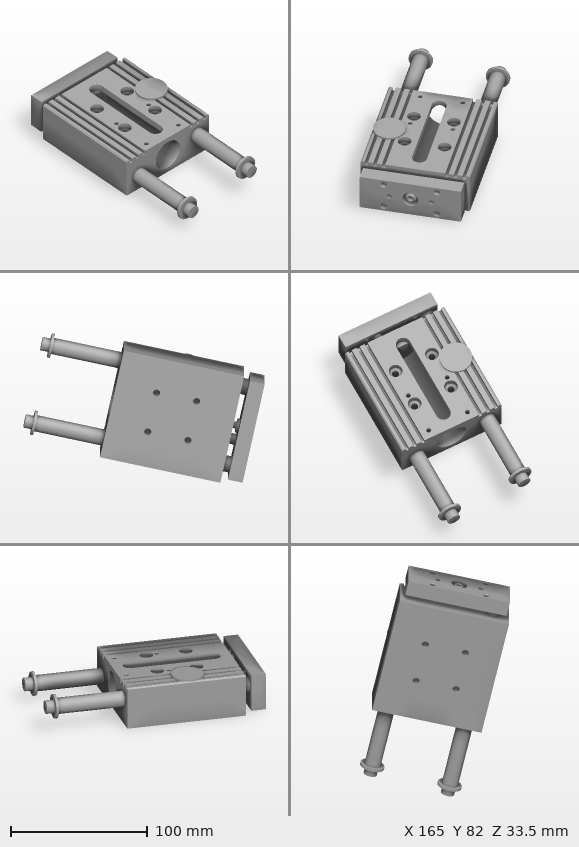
import cadquery as cq
import math

plate_thickness = 11.0
gap = 5.0
housing_length = 90.0
housing_width = 82.0
housing_height = 32.0
edge_chamfer = 1.0

housing_start = plate_thickness + gap
housing_end = housing_start + housing_length
cylinder_axis_z = housing_height / 2

groove_width = 2.5
groove_depth = 3.0
groove_pitch = 6.5
groove_count = 3
groove_inner_y = 23.75

bore_diameter = 24.0
bore_end_wall = 11.3
slot_width = 11.0
slot_depth = 6.0
slot_margin = 8.0

mount_hole_diameter = 5.2
mount_counterbore_diameter = 10.0
mount_counterbore_depth = 4.7
mount_hole_x = (30.0, 60.0)
mount_hole_y = 15.0

tapped_hole_diameter = 3.24
tapped_hole_mouth = 4.02
tapped_hole_depth = 8.0
drill_point_angle = 118.0
tapped_hole_tip = tapped_hole_diameter / 2 / math.tan(math.radians(drill_point_angle / 2))
tapped_hole_x = (52.0, 84.0)
tapped_hole_y = 16.0

disc_diameter = 24.0
disc_boss_diameter = 20.0
disc_height = 1.5
disc_x = 41.0

plate_width = 76.0
plate_height = 28.0
plate_bottom = 2.0

guide_rod_diameter = 12.0
guide_rod_y = 29.0
guide_rod_z_offset = 3.0
flange_diameter = 18.0
flange_thickness = 2.0
rod_tip_diameter = 10.0
rod_tip_length = 6.0
total_length = 165.0

stop_pin_diameter = 8.0
stop_pin_y = -12.0
stop_pin_z = 22.5

piston_rod_diameter = 5.0
collar_diameter = 10.5
collar_projection = 2.0
collar_recess_diameter = 12.0
collar_recess_depth = 6.0
head_projection = 1.0
dome_diameter = 10.0
socket_diameter = 4.13
socket_mouth = 5.02
socket_depth = 6.0

plate_screw_diameter = 4.13
plate_screw_mouth = 5.02
plate_screw_y = 20.0
plate_screw_z_offset = 10.0
plate_dowel_diameter = 4.02
plate_dowel_y = 16.0


def rod_along_x(diameter, start, end, y, z):
    """Cylinder parallel to X between two X positions."""
    return (
        cq.Workplane("YZ", origin=(start, y, z))
        .circle(diameter / 2)
        .extrude(end - start)
    )


def tapped_holes(workplane, points, diameter, mouth, depth, tip=0):
    """Cutters for drilled holes with a 45 degree countersunk mouth, sunk against the workplane normal."""
    sink = (mouth - diameter) / 2
    profile = [(0, 0), (mouth / 2, 0), (diameter / 2, -sink), (diameter / 2, -depth), (0, -depth - tip)]
    cutter = cq.Workplane("XZ").polyline(profile).close().revolve(360, (0, 0), (0, 1)).val()
    return workplane.pushPoints(points).eachpoint(lambda location: cutter.moved(location), True)


guide_rods = [
    (side * guide_rod_y, cylinder_axis_z + side * guide_rod_z_offset)
    for side in (-1, 1)
]


def make_housing():
    body = (
        cq.Workplane("XY")
        .box(housing_length, housing_width, housing_height, centered=(False, True, False))
        .translate((housing_start, 0, 0))
        .edges("|X and >Z")
        .chamfer(edge_chamfer)
    )
    housing_top = cq.Workplane("XY", origin=(housing_start, 0, housing_height))

    for side in (-1, 1):
        for index in range(groove_count):
            groove_y = side * (groove_inner_y + index * groove_pitch)
            groove = (
                housing_top.center(housing_length / 2, groove_y)
                .rect(housing_length, groove_width)
                .extrude(-groove_depth)
            )
            body = body.cut(groove)

    disc_plane = housing_top.center(disc_x, guide_rod_y)
    disc_boss = disc_plane.circle(disc_boss_diameter / 2).extrude(-groove_depth)
    disc = disc_plane.circle(disc_diameter / 2).extrude(disc_height)
    body = body.union(disc_boss).union(disc)

    mount_points = [(x, side * mount_hole_y) for x in mount_hole_x for side in (-1, 1)]
    through_holes = (
        housing_top.pushPoints(mount_points)
        .circle(mount_hole_diameter / 2)
        .extrude(-housing_height)
    )
    counterbores = (
        housing_top.pushPoints(mount_points)
        .circle(mount_counterbore_diameter / 2)
        .extrude(-mount_counterbore_depth)
    )
    body = body.cut(through_holes).cut(counterbores)

    tapped_points = [(x, side * tapped_hole_y) for x in tapped_hole_x for side in (-1, 1)]
    body = body.cut(tapped_holes(
        housing_top, tapped_points, tapped_hole_diameter, tapped_hole_mouth, tapped_hole_depth,
        tapped_hole_tip))

    slot = (
        housing_top.center(housing_length / 2, 0)
        .slot2D(housing_length - 2 * slot_margin, slot_width)
        .extrude(-slot_depth)
    )
    bore = rod_along_x(bore_diameter, housing_start + bore_end_wall, housing_end, 0, cylinder_axis_z)
    rod_hole = rod_along_x(
        piston_rod_diameter, housing_start, housing_start + bore_end_wall, 0, cylinder_axis_z
    )
    body = body.cut(slot).cut(bore).cut(rod_hole)

    for y, z in guide_rods:
        body = body.cut(rod_along_x(guide_rod_diameter, housing_start, housing_end, y, z))
    return body


def make_collar(collar_end):
    """Turned collar with a domed head and a countersunk blind socket in the dome."""
    dome_base = collar_recess_depth - head_projection
    dome_radius = dome_diameter / 2
    mouth_radius = socket_mouth / 2
    socket_radius = socket_diameter / 2
    mouth_angle = math.asin(mouth_radius / dome_radius)
    middle_angle = (mouth_angle + math.pi / 2) / 2
    dome_start = dome_base - dome_radius * math.cos(mouth_angle)
    dome_middle = (
        dome_base - dome_radius * math.cos(middle_angle),
        dome_radius * math.sin(middle_angle),
    )
    socket_end = dome_start + socket_depth
    return (
        cq.Workplane("XY", origin=(0, 0, cylinder_axis_z))
        .moveTo(collar_end, 0)
        .lineTo(collar_end, collar_diameter / 2)
        .lineTo(dome_base, collar_diameter / 2)
        .lineTo(dome_base, dome_radius)
        .threePointArc(dome_middle, (dome_start, mouth_radius))
        .lineTo(dome_start + mouth_radius - socket_radius, socket_radius)
        .lineTo(socket_end, socket_radius)
        .lineTo(socket_end, 0)
        .close()
        .revolve(360, (0, 0), (1, 0))
    )


def make_slide():
    plate = (
        cq.Workplane("XY")
        .box(plate_thickness, plate_width, plate_height, centered=(False, True, False))
        .translate((0, 0, plate_bottom))
    )
    face = cq.Workplane("YZ", origin=(0, 0, cylinder_axis_z))
    outer_face = cq.Workplane(
        cq.Plane(origin=(0, 0, cylinder_axis_z), xDir=(0, -1, 0), normal=(-1, 0, 0)))
    screw_points = [
        (side * plate_screw_y, level * plate_screw_z_offset)
        for side in (-1, 1)
        for level in (-1, 1)
    ]
    screw_holes = tapped_holes(
        outer_face, screw_points, plate_screw_diameter, plate_screw_mouth, plate_thickness)
    dowel_points = [(side * plate_dowel_y, 0) for side in (-1, 1)]
    dowel_holes = face.pushPoints(dowel_points).circle(plate_dowel_diameter / 2).extrude(plate_thickness)
    recess = face.circle(collar_recess_diameter / 2).extrude(collar_recess_depth)
    slide = plate.cut(screw_holes).cut(dowel_holes).cut(recess)

    collar_end = plate_thickness + collar_projection
    slide = slide.union(make_collar(collar_end))
    slide = slide.union(rod_along_x(
        piston_rod_diameter, collar_end, housing_start + bore_end_wall, 0, cylinder_axis_z))
    slide = slide.union(rod_along_x(
        stop_pin_diameter, plate_thickness, housing_start, stop_pin_y, stop_pin_z))
    flange_end = total_length - rod_tip_length
    for y, z in guide_rods:
        slide = slide.union(rod_along_x(guide_rod_diameter, plate_thickness, flange_end, y, z))
        slide = slide.union(rod_along_x(flange_diameter, flange_end - flange_thickness, flange_end, y, z))
        slide = slide.union(rod_along_x(rod_tip_diameter, flange_end, total_length, y, z))
    return slide


housing = make_housing()
slide = make_slide()
result = cq.Compound.makeCompound([housing.val(), slide.val()])